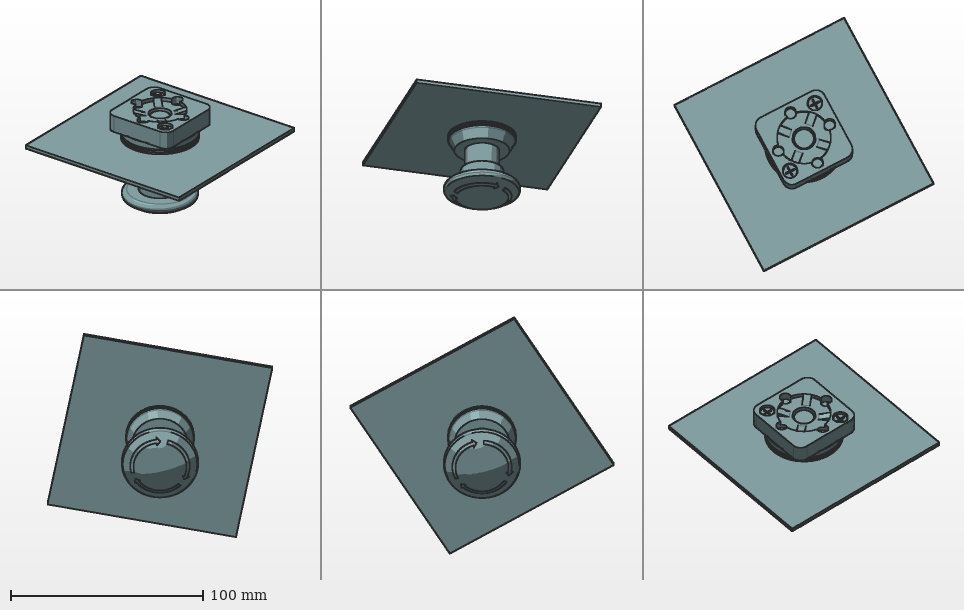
import cadquery as cq
import math


panel_side = 100.0
panel_thickness = 2.0
panel_hole_diameter = 30.5

shim_count = 3
shim_thickness = 1.0
flange_diameter = 41.0

housing_side = 40.0
housing_corner_radius = 5.0
housing_top = 15.6
block_height = 9.4
flange_bottom = shim_count * shim_thickness
flange_top = housing_top - block_height
pocket_diameter = 28.0
pocket_depth = 2.0
pocket_floor = housing_top - pocket_depth
stem_bore_diameter = 12.0

rim_hole_diameter = 5.8
rim_hole_depth = 4.2
rim_hole_circle_radius = 15.1
rim_hole_count = 4

ramp_count = 4
ramp_first_angle = 42.5
ramp_width = 4.2
ramp_inner_radius = 7.7

screw_head_diameter = 7.3
screw_hole_diameter = 7.8
screw_head_height = 2.5
screw_sink_depth = 1.4
screw_circle_radius = 19.2
screw_angles = (130.0, -45.0)
cross_length = 5.0
cross_width = 0.5
cross_depth = 1.0
screw_top = housing_top - screw_sink_depth
screw_bottom = screw_top - screw_head_height

spigot_diameter = 30.0
knurl_outer_radius = 17.8
knurl_root_radius = 17.5
knurl_tooth_count = 144
bezel_top = -panel_thickness
knurl_height = 2.5
rim_taper_height = 0.8
knurl_bottom = bezel_top - knurl_height
cone_top = knurl_bottom - rim_taper_height
cone_bottom = -10.4
cone_top_radius = 17.1
cone_bottom_radius = 14.4

stem_diameter = 10.2
stem_end_depth = 1.2
stem_top = pocket_floor - stem_end_depth
shaft_diameter = 18.0
collar_diameter = 22.5
collar_top = -21.8
collar_chamfer = 0.3
head_diameter = 40.0
head_top = -30.4
head_edge_radius = 2.5
dome_edge = -34.6
dome_apex = -41.0

arrow_count = 3
arrow_depth = 0.15
arrow_inner_radius = 13.8
arrow_outer_radius = 15.5
arrow_barb_overhang = 1.0
arrow_start_angle = 125.0
arrow_neck_angle = 222.0
arrow_tip_angle = 230.0

head_radius = head_diameter / 2
edge_center_radius = head_radius - head_edge_radius
edge_center_z = head_top - head_edge_radius
dome_edge_radius = edge_center_radius + math.sqrt(head_edge_radius**2 - (edge_center_z - dome_edge) ** 2)
dome_rise = dome_edge - dome_apex
dome_radius = (dome_edge_radius**2 + dome_rise**2) / (2 * dome_rise)
dome_center_z = dome_apex + dome_radius


def polar(radius, degrees):
    """Point in the XY plane at a radius and an angle from +X."""
    angle = math.radians(degrees)
    return (radius * math.cos(angle), radius * math.sin(angle))


def cylinder(diameter, bottom, top):
    """Cylinder on the main axis between two heights."""
    return cq.Workplane("XY").workplane(offset=bottom).circle(diameter / 2).extrude(top - bottom)


def ring(outer_diameter, inner_diameter, bottom, top):
    """Ring on the main axis between two heights."""
    return cylinder(outer_diameter, bottom, top).cut(cylinder(inner_diameter, bottom, top))


def make_panel():
    panel = cq.Workplane("XY").rect(panel_side, panel_side).extrude(-panel_thickness)
    return panel.cut(cylinder(panel_hole_diameter, -panel_thickness, 0))


def make_shim(index):
    bottom = index * shim_thickness
    return ring(flange_diameter, panel_hole_diameter, bottom, bottom + shim_thickness)


def make_ramp(angle):
    """Wedge on the pocket floor that rises outward to the pocket wall."""
    outer_radius = pocket_diameter / 2
    return (
        cq.Workplane("XZ")
        .moveTo(ramp_inner_radius, pocket_floor)
        .lineTo(outer_radius, pocket_floor)
        .lineTo(outer_radius, housing_top)
        .close()
        .extrude(ramp_width / 2, both=True)
        .rotate((0, 0, 0), (0, 0, 1), angle)
    )


def make_housing():
    block = (
        cq.Workplane("XY")
        .workplane(offset=flange_top)
        .rect(housing_side, housing_side)
        .extrude(block_height)
        .edges("|Z")
        .fillet(housing_corner_radius)
    )
    housing = block.union(cylinder(flange_diameter, flange_bottom, flange_top))
    housing = housing.cut(cylinder(pocket_diameter, pocket_floor, housing_top))
    for index in range(ramp_count):
        housing = housing.union(make_ramp(ramp_first_angle + index * 360 / ramp_count))
    housing = housing.cut(cylinder(stem_bore_diameter, flange_bottom, housing_top))
    rim_holes = (
        cq.Workplane("XY")
        .workplane(offset=housing_top)
        .polarArray(rim_hole_circle_radius, 0, 360, rim_hole_count)
        .circle(rim_hole_diameter / 2)
        .extrude(-rim_hole_depth)
    )
    screw_holes = (
        cq.Workplane("XY")
        .workplane(offset=housing_top)
        .pushPoints([polar(screw_circle_radius, angle) for angle in screw_angles])
        .circle(screw_hole_diameter / 2)
        .extrude(screw_bottom - housing_top)
    )
    return housing.cut(rim_holes).cut(screw_holes)


def make_screw(angle):
    """Screw head with a cross recess, at an angle on the screw circle."""
    head = cylinder(screw_head_diameter, screw_bottom, screw_top)
    top_plane = cq.Workplane("XY").workplane(offset=screw_top)
    head = head.cut(top_plane.rect(cross_length, cross_width).extrude(-cross_depth))
    head = head.cut(top_plane.rect(cross_width, cross_length).extrude(-cross_depth))
    x, y = polar(screw_circle_radius, angle)
    return head.translate((x, y, 0))


def make_knurl():
    """Toothed rim of the bezel, with V-shaped teeth."""
    half_pitch = 180 / knurl_tooth_count
    outline = []
    for tooth in range(knurl_tooth_count):
        crest_angle = 2 * tooth * half_pitch
        outline.append(polar(knurl_outer_radius, crest_angle))
        outline.append(polar(knurl_root_radius, crest_angle + half_pitch))
    top_plane = cq.Workplane("XY").workplane(offset=bezel_top)
    return top_plane.polyline(outline).close().extrude(-knurl_height)


def make_bezel():
    cone = (
        cq.Workplane("XZ")
        .moveTo(0, knurl_bottom)
        .lineTo(knurl_root_radius, knurl_bottom)
        .lineTo(cone_top_radius, cone_top)
        .lineTo(cone_bottom_radius, cone_bottom)
        .lineTo(0, cone_bottom)
        .close()
        .revolve(360, (0, 0, 0), (0, 1, 0))
    )
    spigot = cylinder(spigot_diameter, bezel_top, flange_bottom)
    bezel = make_knurl().union(cone).union(spigot)
    return bezel.cut(cylinder(shaft_diameter, cone_bottom, flange_bottom))


def make_arrow_cutter():
    """Curved arrow that reaches a little below the dome surface."""
    middle_angle = (arrow_start_angle + arrow_neck_angle) / 2
    middle_radius = (arrow_inner_radius + arrow_outer_radius) / 2
    arrow = (
        cq.Workplane("XY")
        .workplane(offset=dome_apex)
        .moveTo(*polar(arrow_inner_radius, arrow_start_angle))
        .threePointArc(polar(arrow_inner_radius, middle_angle), polar(arrow_inner_radius, arrow_neck_angle))
        .lineTo(*polar(arrow_inner_radius - arrow_barb_overhang, arrow_neck_angle))
        .lineTo(*polar(middle_radius, arrow_tip_angle))
        .lineTo(*polar(arrow_outer_radius + arrow_barb_overhang, arrow_neck_angle))
        .lineTo(*polar(arrow_outer_radius, arrow_neck_angle))
        .threePointArc(polar(arrow_outer_radius, middle_angle), polar(arrow_outer_radius, arrow_start_angle))
        .close()
        .extrude(dome_rise)
    )
    recess_floor = cq.Workplane("XY").sphere(dome_radius - arrow_depth).translate((0, 0, dome_center_z))
    return arrow.cut(recess_floor)


def make_head():
    """Mushroom head: flat back, rounded edge and spherical front."""
    diagonal = head_edge_radius * math.sqrt(0.5)
    edge_half_angle = math.asin((edge_center_z - dome_edge) / head_edge_radius) / 2
    lower_edge_point = (
        edge_center_radius + head_edge_radius * math.cos(edge_half_angle),
        edge_center_z - head_edge_radius * math.sin(edge_half_angle),
    )
    dome_half_angle = math.asin(dome_edge_radius / dome_radius) / 2
    dome_point = (
        dome_radius * math.sin(dome_half_angle),
        dome_center_z - dome_radius * math.cos(dome_half_angle),
    )
    head = (
        cq.Workplane("XZ")
        .moveTo(0, head_top)
        .lineTo(edge_center_radius, head_top)
        .threePointArc((edge_center_radius + diagonal, edge_center_z + diagonal), (head_radius, edge_center_z))
        .threePointArc(lower_edge_point, (dome_edge_radius, dome_edge))
        .threePointArc(dome_point, (0, dome_apex))
        .close()
        .revolve(360, (0, 0, 0), (0, 1, 0))
    )
    cutter = make_arrow_cutter()
    for index in range(arrow_count):
        head = head.cut(cutter.rotate((0, 0, 0), (0, 0, 1), index * 360 / arrow_count))
    return head


def make_plunger():
    stem = cylinder(stem_diameter, flange_bottom, stem_top)
    shaft = cylinder(shaft_diameter, collar_top, flange_bottom)
    collar = cylinder(collar_diameter, head_top, collar_top).faces(">Z").chamfer(collar_chamfer)
    return make_head().union(collar).union(shaft).union(stem)


panel = make_panel()
shims = [make_shim(index) for index in range(shim_count)]
housing = make_housing()
screws = [make_screw(angle) for angle in screw_angles]
bezel = make_bezel()
plunger = make_plunger()

result = cq.Compound.makeCompound(
    [
        panel.val(),
        *[shim.val() for shim in shims],
        housing.val(),
        *[screw.val() for screw in screws],
        bezel.val(),
        plunger.val(),
    ]
)